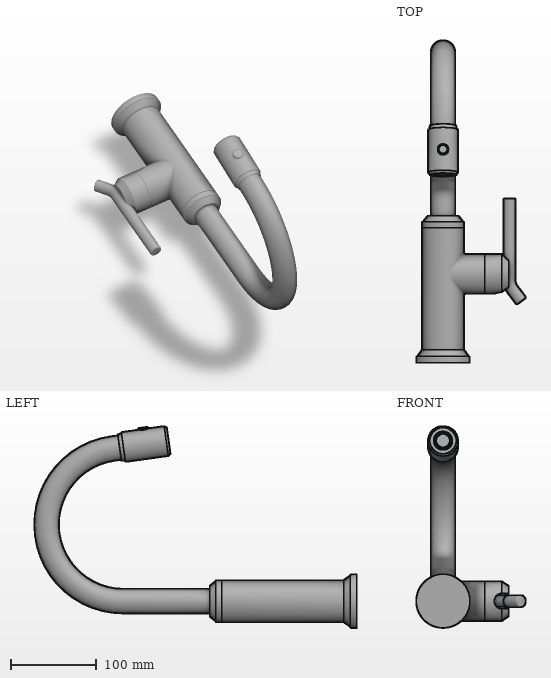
import cadquery as cq
import math

total_length = 377.2
rim_fillet = 1.0

flange_radius = 63.0 / 2
flange_thickness = 7.5
column_radius = 49.5 / 2
column_start = 15.5
swivel_y = 157.5
hub_radius = 23.5
hub_y = 104.0
hub_end = 49.0
hub_fillet = 2.0

tube_radius = 29.0 / 2
bend_start = 273.0
bend_radius = total_length - bend_start - tube_radius
head_tilt = 8.0
neck_length = 8.3
collar_shoulder = 165.2
collar_end = 172.0
collar_end_radius = 18.0
head_radius = 17.7
head_length = 58.0
head_back_radius = 15.5
head_taper_length = 4.5
head_tip_length = 3.0
head_face_radius = 15.5
ring_outer_radius = 11.0
ring_inner_radius = 8.0
ring_depth = 1.0
button_radius = 6.5
button_height = 2.0
button_chamfer = 1.5
button_position = 30.5

cap_end = 77.0
cap_taper_length = 8.3
cap_end_radius = 17.7
lever_radius = 7.0
lever_x = 77.7
lever_tip_y = 192.5
lever_bend_y = 97.0
lever_bend_radius = 19.0
lever_bend_angle = 37.0
lever_tail_length = 17.0
lever_fillet = 1.5
clearance_radius = 9.0
pocket_left = 60.0
shaft_radius = 6.8


def cylinder_along_y(radius, start, end):
    return cq.Workplane("XZ", origin=(0, start, 0)).circle(radius).extrude(start - end)


def turn_about_y(points):
    """Turn a (radius, y) outline around the Y axis."""
    return cq.Workplane("XY").polyline(points).close().revolve(360, (0, 0, 0), (0, 1, 0))


def cone_along_y(start_radius, start, end_radius, end):
    return turn_about_y([(0, start), (start_radius, start), (end_radius, end), (0, end)])


def make_body():
    flange = cylinder_along_y(flange_radius, 0, flange_thickness).faces(">Y").edges().fillet(rim_fillet)
    flange_cone = cone_along_y(
        flange_radius - rim_fillet, flange_thickness, column_radius, column_start
    )
    column = cylinder_along_y(column_radius, column_start, swivel_y)
    hub = cq.Workplane("YZ", origin=(0, hub_y, 0)).circle(hub_radius).extrude(hub_end)
    hub_root = cq.selectors.BoxSelector(
        (0, hub_y - hub_radius, -hub_radius),
        (column_radius, hub_y + hub_radius, hub_radius),
    )
    column = column.union(hub).edges(hub_root).fillet(hub_fillet)
    column = column.faces("<Y").edges().fillet(rim_fillet)
    column = column.faces(">X").edges().fillet(rim_fillet)
    return column.union(flange_cone).union(flange)


def make_spray_head():
    """Spray head along +Y from its back face at the origin, with the button toward +Z."""
    tip_start = head_length - head_tip_length
    barrel = (
        cylinder_along_y(head_radius, head_taper_length, tip_start)
        .faces("<Y").edges().fillet(rim_fillet)
    )
    back_cone = cone_along_y(head_back_radius, 0, head_radius - rim_fillet, head_taper_length)
    tip_cone = cone_along_y(head_radius, tip_start, head_face_radius, head_length)
    ring_groove = turn_about_y([
        (ring_inner_radius, head_length),
        ((ring_inner_radius + ring_outer_radius) / 2, head_length - ring_depth),
        (ring_outer_radius, head_length),
    ])
    button = (
        cq.Workplane("XY").center(0, button_position)
        .circle(button_radius).extrude(head_radius + button_height)
        .faces(">Z").chamfer(button_chamfer)
    )
    return barrel.union(back_cone).union(tip_cone).cut(ring_groove).union(button)


def make_collar():
    ring = cylinder_along_y(column_radius, swivel_y, collar_shoulder).edges("%CIRCLE").fillet(rim_fillet)
    cone = cone_along_y(column_radius - rim_fillet, collar_shoulder, collar_end_radius, collar_end)
    return ring.union(cone)


def make_spout():
    sweep_angle = 180 - head_tilt

    def bend_point(angle):
        return (
            bend_start + bend_radius * math.sin(math.radians(angle)),
            bend_radius * (1 - math.cos(math.radians(angle))),
        )

    bend_end = bend_point(sweep_angle)
    head_direction = (math.cos(math.radians(sweep_angle)), math.sin(math.radians(sweep_angle)))
    head_back = (
        bend_end[0] + neck_length * head_direction[0],
        bend_end[1] + neck_length * head_direction[1],
    )
    path = (
        cq.Workplane("YZ").moveTo(collar_shoulder, 0).lineTo(bend_start, 0)
        .threePointArc(bend_point(sweep_angle / 2), bend_end)
        .lineTo(*head_back)
    )
    tube = cq.Workplane("XZ", origin=(0, collar_shoulder, 0)).circle(tube_radius).sweep(path)
    head = (
        make_spray_head()
        .rotate((0, 0, 0), (0, 0, 1), 180)
        .rotate((0, 0, 0), (1, 0, 0), -head_tilt)
        .translate((0, *head_back))
    )
    return make_collar().union(tube).union(head)


def make_lever():
    turn = math.radians(lever_bend_angle)

    def bend_point(angle):
        return (
            lever_x + lever_bend_radius * (1 - math.cos(angle)),
            lever_bend_y - lever_bend_radius * math.sin(angle),
        )

    bend_end = bend_point(turn)
    tail_tip = (
        bend_end[0] + lever_tail_length * math.sin(turn),
        bend_end[1] - lever_tail_length * math.cos(turn),
    )
    path = (
        cq.Workplane("XY").moveTo(lever_x, lever_tip_y).lineTo(lever_x, lever_bend_y)
        .threePointArc(bend_point(turn / 2), bend_end)
        .lineTo(*tail_tip)
    )
    lever = cq.Workplane("XZ", origin=(lever_x, lever_tip_y, 0)).circle(lever_radius).sweep(path)
    tail_face = cq.selectors.NearestToPointSelector((*tail_tip, 0))
    lever = lever.faces(">Y").edges().fillet(lever_fillet)
    return lever.faces(tail_face).edges().fillet(lever_fillet)


def make_cap():
    outline = [
        (hub_end, 0),
        (hub_end, hub_radius),
        (cap_end - cap_taper_length, hub_radius),
        (cap_end, cap_end_radius),
        (cap_end, 0),
    ]
    blank = (
        cq.Workplane("XY").polyline(outline).close()
        .revolve(360, (0, 0, 0), (1, 0, 0)).translate((0, hub_y, 0))
    )
    groove = (
        cq.Workplane("XZ", origin=(lever_x, hub_y, 0))
        .circle(clearance_radius).extrude(hub_radius, both=True)
    )
    pocket_center = pocket_left + clearance_radius
    pocket = (
        cq.Workplane("XZ", origin=(0, hub_y, 0))
        .moveTo(cap_end, clearance_radius).lineTo(pocket_center, clearance_radius)
        .threePointArc((pocket_left, 0), (pocket_center, -clearance_radius))
        .lineTo(cap_end, -clearance_radius).close().extrude(hub_radius)
    )
    return blank.cut(groove).cut(pocket)


def make_handle():
    shaft = (
        cq.Workplane("YZ", origin=(hub_end, hub_y, 0)).circle(shaft_radius).extrude(lever_x - hub_end)
    )
    return make_cap().union(shaft).union(make_lever())


body = make_body()
spout = make_spout()
handle = make_handle()
result = cq.Compound.makeCompound([body.solids().val(), spout.solids().val(), handle.solids().val()])